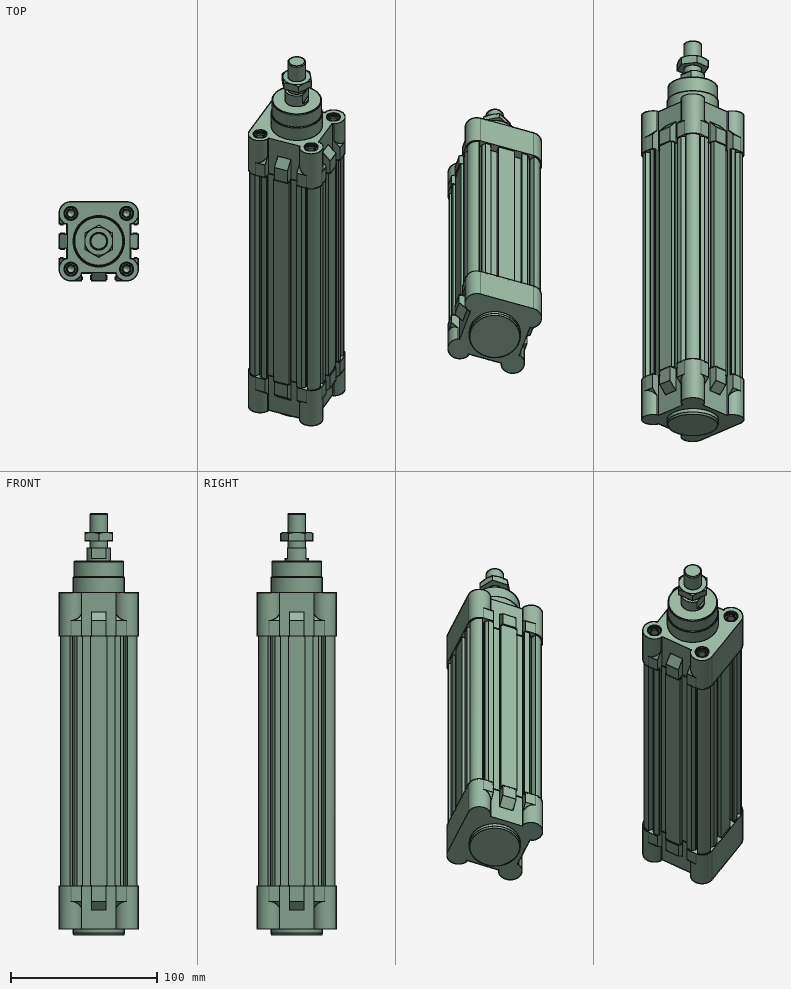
import cadquery as cq
import math

overall_height = 288.0
rear_cap_z = 4.0
cap_height = 29.7
front_cap_top_z = 234.0
front_cap_z = front_cap_top_z - cap_height
barrel_z = rear_cap_z + cap_height
collar_step_z = 244.8
collar_top_z = 255.5
rod_shoulder_z = 264.5
nut_z = 269.3
nut_height = 5.8

cap_half_width = 27.0
post_diameter = 16.0
post_radius = post_diameter / 2
post_offset = cap_half_width - post_radius
panel_offset = 21.3
tab_height = 10.7
tab_overlap = 3.0
middle_tab_width = 9.8
panel_half_width = 11.8

recess_diameter = 9.5
recess_floor_diameter = 9.0
recess_depth = 1.0
socket_diameter = 8.0
socket_depth = 1.0
thread_mouth_diameter = 6.0
thread_mouth_depth = 1.0
screw_hole_diameter = 5.0
screw_hole_depth = 5.8
drill_tip_angle = 118.0

barrel_half_width = 26.2
barrel_corner_radius = barrel_half_width - post_offset
channel_floor = 22.0
channel_outer = 11.8
channel_lip = 11.2
lip_thickness = 1.7
rib_half_width = 5.8
rib_neck_half_width = 5.0
rib_head_thickness = 3.0
sensor_groove_outer = 19.5
sensor_groove_inner = 15.0
sensor_floor_outer = 18.0
sensor_floor_inner = 17.0
sensor_groove_depth = 3.5

collar_diameter = 35.0
collar_nose_diameter = 34.0
collar_chamfer = 0.5
rear_collar_chamfer_height = 1.5

rod_diameter = 16.0
thread_diameter = 12.0
thread_end_diameter = 10.7
thread_chamfer = (thread_diameter - thread_end_diameter) / 2
rod_flats_width = 13.0
rod_flats_z = 257.2
nut_across_flats = 19.0
nut_corner_diameter = nut_across_flats / math.cos(math.radians(30))
nut_chamfer_angle = 30.0

SIDES_WITH_TABS = (-90, 0, 90)
ALL_SIDES = (0, 90, 180, 270)
CORNERS = [(sx * post_offset, sy * post_offset) for sx in (-1, 1) for sy in (-1, 1)]


def centred_box(x_size, y_size, z_low, z_high):
    return cq.Workplane("XY").workplane(offset=z_low).rect(x_size, y_size).extrude(z_high - z_low)


def disc(diameter, z_low, z_high):
    return cq.Workplane("XY").workplane(offset=z_low).circle(diameter / 2).extrude(z_high - z_low)


def turned(shape, angle):
    return shape.rotate((0, 0, 0), (0, 0, 1), angle)


def make_tab(x_low, x_high):
    """A tab on the -Y side with its foot at z = 0 and a 45 degree slope on top that runs into the cap."""
    inside = panel_offset - tab_overlap
    top = tab_height + cap_half_width - inside
    return (
        cq.Workplane("YZ", origin=(x_low, 0, 0))
        .polyline([(-cap_half_width, 0), (-cap_half_width, tab_height), (-inside, top), (-inside, 0)])
        .close()
        .extrude(x_high - x_low)
    )


def make_cap():
    """An end cap with its barrel face at z = 0, growing upward."""
    cap = centred_box(2 * panel_offset, 2 * panel_offset, 0, cap_height)
    cap = cap.union(cq.Workplane("XY").pushPoints(CORNERS).circle(post_radius).extrude(cap_height))
    plain_side = centred_box(2 * post_offset, cap_half_width, 0, cap_height)
    cap = cap.union(plain_side.translate((0, cap_half_width / 2, 0)))
    relief_depth = cap_half_width - panel_offset
    relief = centred_box(2 * panel_half_width, relief_depth, 0, cap_height)
    relief = relief.translate((0, -panel_offset - relief_depth / 2, 0))
    for angle in SIDES_WITH_TABS:
        cap = cap.cut(turned(relief, angle))
        for x_low, x_high in (
            (-post_offset, -panel_half_width),
            (-middle_tab_width / 2, middle_tab_width / 2),
            (panel_half_width, post_offset),
        ):
            cap = cap.union(turned(make_tab(x_low, x_high), angle))
    return cap


def make_screw_recess():
    """The stepped recess of one cap screw, cut downward from z = 0, ending in a drill tip."""
    tip_height = screw_hole_diameter / 2 / math.tan(math.radians(drill_tip_angle / 2))
    socket_z = -recess_depth - socket_depth
    mouth_z = socket_z - thread_mouth_depth
    hole_z = mouth_z - screw_hole_depth
    return (
        cq.Workplane("XZ")
        .polyline([
            (0, 0),
            (recess_diameter / 2, 0),
            (recess_floor_diameter / 2, -recess_depth),
            (socket_diameter / 2, -recess_depth),
            (socket_diameter / 2, socket_z),
            (thread_mouth_diameter / 2, socket_z),
            (screw_hole_diameter / 2, mouth_z),
            (screw_hole_diameter / 2, hole_z),
            (0, hole_z - tip_height),
        ])
        .close()
        .revolve(360, (0, 0, 0), (0, 1, 0))
    )


def make_channel(side):
    """One wide channel of the -Y side, with a mouth narrowed by a lip and by the head of the middle rib."""
    face = -barrel_half_width
    profile = (
        cq.Workplane("XY")
        .moveTo(side * rib_neck_half_width, -channel_floor)
        .lineTo(side * rib_neck_half_width, face + rib_head_thickness)
        .lineTo(side * rib_half_width, face + rib_head_thickness)
        .lineTo(side * rib_half_width, face)
        .lineTo(side * channel_lip, face)
        .lineTo(side * channel_lip, face + lip_thickness)
        .lineTo(side * channel_outer, face + lip_thickness)
        .lineTo(side * channel_outer, -channel_floor)
        .close()
    )
    return profile.extrude(front_cap_z - barrel_z)


def make_sensor_groove(side):
    """One sensor groove of the -Y side: a steep flank by the corner, a 45 degree flank by the channel."""
    face = -barrel_half_width
    flank_depth = sensor_floor_inner - sensor_groove_inner
    return (
        cq.Workplane("XY")
        .polyline([
            (side * sensor_groove_outer, face),
            (side * sensor_floor_outer, face + sensor_groove_depth),
            (side * sensor_floor_inner, face + sensor_groove_depth),
            (side * sensor_floor_inner, face + flank_depth),
            (side * sensor_groove_inner, face),
        ])
        .close()
        .extrude(front_cap_z - barrel_z)
    )


def make_barrel():
    barrel = centred_box(2 * barrel_half_width, 2 * barrel_half_width, 0, front_cap_z - barrel_z)
    barrel = barrel.edges("|Z").fillet(barrel_corner_radius)
    for angle in ALL_SIDES:
        for side in (-1, 1):
            barrel = barrel.cut(turned(make_channel(side), angle))
            barrel = barrel.cut(turned(make_sensor_groove(side), angle))
    return barrel.translate((0, 0, barrel_z))


def make_housing():
    cap = make_cap()
    front_cap = cap.translate((0, 0, front_cap_z))
    rear_cap = cap.mirror("XY").translate((0, 0, barrel_z))
    collar = disc(collar_diameter, front_cap_top_z, collar_step_z).faces(">Z").chamfer(collar_chamfer)
    nose = disc(collar_nose_diameter, front_cap_top_z, collar_top_z).faces(">Z").chamfer(collar_chamfer)
    rear_collar = disc(collar_diameter, 0, rear_cap_z).faces("<Z").chamfer(
        rear_collar_chamfer_height, collar_chamfer
    )
    housing = make_barrel()
    for piece in (front_cap, rear_cap, collar, nose, rear_collar):
        housing = housing.union(piece)
    for x, y in CORNERS:
        housing = housing.cut(make_screw_recess().translate((x, y, front_cap_top_z)))
    return housing


def make_rod():
    root = disc(rod_diameter, collar_top_z, rod_flats_z)
    flats = centred_box(rod_diameter, rod_flats_width, rod_flats_z, rod_shoulder_z)
    shank = root.union(disc(rod_diameter, rod_flats_z, rod_shoulder_z).intersect(flats))
    thread = disc(thread_diameter, rod_shoulder_z, overall_height).faces(">Z").chamfer(thread_chamfer)
    return shank.union(thread)


def make_nut():
    nut = (
        cq.Workplane("XY")
        .polygon(6, nut_corner_diameter)
        .extrude(nut_height)
        .rotate((0, 0, 0), (0, 0, 1), 30)
    )
    corner_radius = nut_corner_diameter / 2
    flat_radius = nut_across_flats / 2
    drop = (corner_radius - flat_radius) * math.tan(math.radians(nut_chamfer_angle))
    envelope = (
        cq.Workplane("XZ")
        .polyline([
            (0, 0),
            (corner_radius, 0),
            (corner_radius, nut_height - drop),
            (flat_radius, nut_height),
            (0, nut_height),
        ])
        .close()
        .revolve(360, (0, 0, 0), (0, 1, 0))
    )
    nut = nut.intersect(envelope).cut(disc(thread_diameter, 0, nut_height))
    return nut.translate((0, 0, nut_z))


housing = make_housing()
rod = make_rod()
nut = make_nut()
result = cq.Compound.makeCompound([housing.val(), rod.val(), nut.val()])